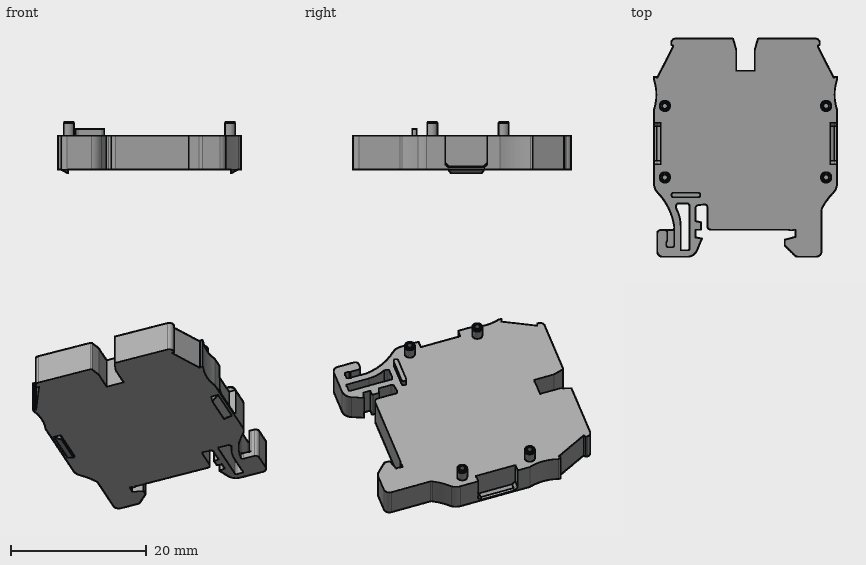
import cadquery as cq

plate_width = 27.0
plate_length = 32.2
plate_thickness = 5.0
half_width = plate_width / 2

hook_half_width = 10.98
hook_lip_y = 31.27
hook_root_half_width = 10.63
hook_root_y = 31.1
hook_radius = 0.7
notch_half_width = 1.35
notch_mouth_half_width = 1.85
notch_floor_y = 27.47
notch_flare_y = 30.55
notch_mouth_radius = 0.2

ridge_top_y = 26.53
ridge_half_width = 13.17
slope_half_width = 13.05
slope_bottom_y = 26.37

grip_top_y = 26.15
grip_bottom_y = 21.67
grip_depth = 0.35

shoulder_top_y = 10.85
shoulder_middle = (13.4, 10.18)
shoulder_end = (13.07, 9.6)

rail_seat_y = 4.0
bump_left_x = 6.4
bump_right_x = 7.05
bump_height = 0.1
bump_run = 0.1

foot_right_x = 11.25
foot_right_top_y = 7.1
foot_right_arc_middle = (12.15, 8.53)
foot_right_top_radius = 0.65
foot_radius = 0.87
claw_inner_x = 7.35
claw_inner_y = 2.95
claw_tip_x = 5.75
claw_tip_top_y = 2.55
claw_tip_bottom_y = 1.67
claw_heel_x = 7.47
claw_heel_radius = 0.8

foot_left_x = -13.05
foot_left_top_radius = 0.58
spring_slot_left_x = -7.35
spring_slot_right_x = -5.65
spring_slot_left_top_y = 7.57
spring_slot_right_top_y = 7.75
spring_slot_radius = 0.4
spring_slot_mouth_radius = 0.58
upper_catch_x = -6.55
upper_catch_root_y = 5.28
upper_catch_tip_y = 5.12
lower_catch_tip = (-6.4, 2.7)
lower_catch_root_y = 2.9
toe_x = -7.55
toe_radius = 1.6
small_radius = 0.2

leg_outer_x = -10.53
leg_outer_y = 4.5
leg_arc_middle = (-11.5, 7.47)

window_right_x = -8.28
window_left_x = -9.53
window_top_left_x = -10.2
window_top_y = 7.85
window_bottom_y = 1.0
window_arc_top_y = 7.18
window_arc_middle = (-9.72, 5.95)
window_top_radius = 0.32

tool_slot_left_x = -11.65
tool_slot_neck_x = -11.55
tool_slot_neck_y = 2.38
tool_slot_step_y = 2.2
tool_slot_bottom_y = 1.45
tool_slot_floor_z = 1.05
tool_slot_radius = 0.23
tool_slot_mouth_radius = 0.35

pocket_depth = 1.03
pocket_ledge = 0.45
pocket_top_y = 19.8
pocket_bottom_y = 13.65
pocket_chamfer = 0.5
pocket_floor_z = 0.23
pocket_floor_rise = 0.23
tongue_start = 0.42
tongue_end = 1.5
tongue_drop = 0.58
tongue_taper = 0.42
latch_gap = 0.4

pin_x = 11.88
pin_rows_y = (11.72, 22.25)
pin_radius = 0.77
pin_height = 2.03
pin_hole_radius = 0.42
pin_chamfer_height = 0.23
pin_chamfer_width = 0.113
rib_center = (-8.8, 9.1)
rib_length = 4.25
rib_width = 0.7
rib_height = 1.0


def round_corners(body, radius, corners):
    """Round the vertical edges standing on the given (x, y) corners."""
    for x, y in corners:
        nearest = cq.selectors.NearestToPointSelector((x, y, plate_thickness / 2))
        body = body.edges("|Z").edges(nearest).fillet(radius)
    return body


def mirrored(point):
    """Return the point reflected to the other side of X = 0."""
    return (-point[0], point[1])


def outline_plate():
    grip_middle = (half_width - grip_depth, (grip_top_y + grip_bottom_y) / 2)
    right_upper_end = [
        (notch_half_width, notch_floor_y),
        (notch_half_width, notch_flare_y),
        (notch_mouth_half_width, plate_length),
        (hook_half_width, plate_length),
        (hook_half_width, hook_lip_y),
        (hook_root_half_width, hook_root_y),
        (slope_half_width, slope_bottom_y),
        (ridge_half_width, ridge_top_y),
        (half_width, ridge_top_y),
        (half_width, grip_top_y),
    ]
    left_upper_end = [mirrored(point) for point in reversed(right_upper_end)]
    right_foot = [
        (foot_right_x, 0),
        (claw_heel_x, 0),
        (claw_tip_x, claw_tip_bottom_y),
        (claw_tip_x, claw_tip_top_y),
        (claw_inner_x, claw_inner_y),
        (claw_inner_x, rail_seat_y),
    ]
    rail_seat = [
        (bump_right_x, rail_seat_y),
        (bump_right_x - bump_run, rail_seat_y - bump_height),
        (bump_left_x + bump_run, rail_seat_y - bump_height),
        (bump_left_x, rail_seat_y),
        (spring_slot_right_x, rail_seat_y),
    ]
    spring_slot = [
        (spring_slot_right_x, spring_slot_right_top_y),
        (spring_slot_left_x, spring_slot_left_top_y),
        (spring_slot_left_x, upper_catch_root_y),
        (upper_catch_x, upper_catch_tip_y),
        (upper_catch_x, rail_seat_y),
        (spring_slot_left_x, rail_seat_y),
        (spring_slot_left_x, lower_catch_root_y),
        lower_catch_tip,
    ]
    left_foot = [
        (toe_x, 0),
        (foot_left_x, 0),
        (foot_left_x, rail_seat_y),
        (leg_outer_x, rail_seat_y),
        (leg_outer_x, leg_outer_y),
    ]
    return (
        cq.Workplane("XY")
        .polyline(left_upper_end + right_upper_end)
        .threePointArc(grip_middle, (half_width, grip_bottom_y))
        .lineTo(half_width, shoulder_top_y)
        .threePointArc(shoulder_middle, shoulder_end)
        .threePointArc(foot_right_arc_middle, (foot_right_x, foot_right_top_y))
        .polyline(right_foot + rail_seat + spring_slot + left_foot, includeCurrent=True)
        .threePointArc(leg_arc_middle, mirrored(shoulder_end))
        .threePointArc(mirrored(shoulder_middle), (-half_width, shoulder_top_y))
        .lineTo(-half_width, grip_bottom_y)
        .threePointArc(mirrored(grip_middle), (-half_width, grip_top_y))
        .close()
    )


def make_plate():
    plate = outline_plate().extrude(plate_thickness)
    for side in (-1, 1):
        plate = round_corners(plate, hook_radius, [(side * hook_half_width, plate_length)])
        plate = round_corners(plate, notch_mouth_radius, [(side * notch_mouth_half_width, plate_length)])
    plate = round_corners(plate, foot_radius, [(foot_left_x, 0), (foot_right_x, 0)])
    plate = round_corners(plate, foot_right_top_radius, [(foot_right_x, foot_right_top_y)])
    plate = round_corners(plate, claw_heel_radius, [(claw_heel_x, 0)])
    plate = round_corners(plate, toe_radius, [(toe_x, 0)])
    plate = round_corners(plate, foot_left_top_radius, [(foot_left_x, rail_seat_y)])
    plate = round_corners(plate, spring_slot_mouth_radius, [(spring_slot_right_x, rail_seat_y)])
    plate = round_corners(plate, spring_slot_radius, [
        (spring_slot_right_x, spring_slot_right_top_y),
        (spring_slot_left_x, spring_slot_left_top_y),
    ])
    return round_corners(plate, small_radius, [(upper_catch_x, rail_seat_y), (leg_outer_x, rail_seat_y)])


def make_window():
    window = (
        cq.Workplane("XY")
        .moveTo(window_left_x, window_bottom_y)
        .lineTo(window_right_x, window_bottom_y)
        .lineTo(window_right_x, window_top_y)
        .lineTo(window_top_left_x, window_top_y)
        .lineTo(window_top_left_x, window_arc_top_y)
        .threePointArc(window_arc_middle, (window_left_x, leg_outer_y))
        .close()
        .extrude(plate_thickness)
    )
    top_corners = [(window_right_x, window_top_y), (window_top_left_x, window_top_y)]
    window = round_corners(window, window_top_radius, top_corners)
    return round_corners(window, small_radius, [(window_right_x, window_bottom_y)])


def make_tool_slot():
    """Slot beside the leg, flared at its open end and closed by a floor underneath."""
    slot = (
        cq.Workplane("XY", origin=(0, 0, tool_slot_floor_z))
        .moveTo(leg_outer_x, tool_slot_bottom_y)
        .lineTo(leg_outer_x, rail_seat_y)
        .lineTo(tool_slot_neck_x - tool_slot_mouth_radius, rail_seat_y)
        .radiusArc((tool_slot_neck_x, rail_seat_y - tool_slot_mouth_radius), tool_slot_mouth_radius)
        .lineTo(tool_slot_neck_x, tool_slot_neck_y)
        .lineTo(tool_slot_left_x, tool_slot_step_y)
        .lineTo(tool_slot_left_x, tool_slot_bottom_y)
        .close()
        .extrude(plate_thickness - tool_slot_floor_z)
    )
    bottom_corners = [(leg_outer_x, tool_slot_bottom_y), (tool_slot_left_x, tool_slot_bottom_y)]
    slot = round_corners(slot, tool_slot_radius, bottom_corners)
    leg_round = (
        cq.Workplane("XY", origin=(0, 0, tool_slot_floor_z))
        .center(leg_outer_x - small_radius, rail_seat_y)
        .rect(2 * small_radius, 2 * small_radius)
        .extrude(plate_thickness - tool_slot_floor_z)
    )
    return slot.union(leg_round)


def pocket_section(floor_z):
    """Pocket section in Y and Z, with chamfered lower corners, open at the upper face."""
    return [
        (pocket_bottom_y, plate_thickness),
        (pocket_bottom_y, floor_z + pocket_chamfer),
        (pocket_bottom_y + pocket_chamfer, floor_z),
        (pocket_top_y - pocket_chamfer, floor_z),
        (pocket_top_y, floor_z + pocket_chamfer),
        (pocket_top_y, plate_thickness),
    ]


def make_left_pocket():
    """Level ledge at the outer side, then a floor that rises towards the inside."""
    outer_section = pocket_section(pocket_floor_z)
    inner_section = pocket_section(pocket_floor_z + pocket_floor_rise)
    ledge = (
        cq.Workplane("YZ", origin=(-half_width, 0, 0))
        .polyline(outer_section)
        .close()
        .extrude(pocket_ledge)
    )
    rising = (
        cq.Workplane("YZ", origin=(-half_width + pocket_ledge, 0, 0))
        .polyline(outer_section)
        .close()
        .workplane(offset=pocket_depth - pocket_ledge)
        .polyline(inner_section)
        .close()
        .loft(ruled=True)
    )
    return ledge.union(rising)


def make_left_tongue():
    """Wedge under the plate that deepens inwards and has tapered ends."""
    start_x = -half_width + tongue_start
    end_x = -half_width + tongue_end
    low_y = pocket_bottom_y + latch_gap
    high_y = pocket_top_y - latch_gap
    wedge = (
        cq.Workplane("XZ", origin=(0, high_y, 0))
        .polyline([(start_x, 0), (end_x, 0), (end_x, -tongue_drop)])
        .close()
        .extrude(high_y - low_y)
    )
    tapered_ends = (
        cq.Workplane("YZ", origin=(start_x, 0, 0))
        .polyline([
            (low_y, 0),
            (high_y, 0),
            (high_y - tongue_taper, -tongue_drop),
            (low_y + tongue_taper, -tongue_drop),
        ])
        .close()
        .extrude(tongue_end - tongue_start)
    )
    return wedge.intersect(tapered_ends)


def make_pins():
    """Hollow pins with a chamfered tip, one near each corner of the middle section."""
    places = [(x, y) for x in (-pin_x, pin_x) for y in pin_rows_y]
    return (
        cq.Workplane("XY", origin=(0, 0, plate_thickness))
        .pushPoints(places)
        .circle(pin_radius)
        .extrude(pin_height)
        .faces(">Z")
        .edges()
        .chamfer(pin_chamfer_height, pin_chamfer_width)
        .cut(
            cq.Workplane("XY", origin=(0, 0, plate_thickness))
            .pushPoints(places)
            .circle(pin_hole_radius)
            .extrude(pin_height)
        )
    )


def make_rib():
    return (
        cq.Workplane("XY", origin=(*rib_center, plate_thickness))
        .slot2D(rib_length, rib_width)
        .extrude(rib_height)
    )


left_pocket = make_left_pocket()
left_tongue = make_left_tongue()
result = (
    make_plate()
    .cut(make_window())
    .cut(make_tool_slot())
    .cut(left_pocket)
    .cut(left_pocket.mirror("YZ"))
    .union(left_tongue)
    .union(left_tongue.mirror("YZ"))
    .union(make_pins())
    .union(make_rib())
)